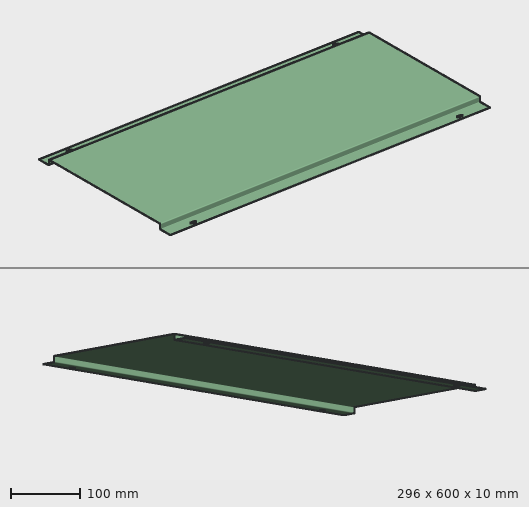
import cadquery as cq

width = 296.0
length = 600.0
height = 10.0

thickness = 1.0
inner_bend_radius = 0.5
outer_bend_radius = inner_bend_radius + thickness

panel_width = 252.0

slot_width = 4.0
slot_length = 10.0
slot_spacing_x = 280.0
slot_spacing_y = 500.0


def plate(x_size, z_bottom, z_top):
    """Full-length rectangular bar centred on X and Y between two heights."""
    return (
        cq.Workplane("XY")
        .workplane(offset=z_bottom)
        .rect(x_size, length)
        .extrude(z_top - z_bottom)
    )


def bent_sheet():
    """Raised panel with a side wall and an outward flange along each long edge."""
    panel = plate(panel_width, 0, height)
    panel = panel.edges("|Y and >Z").fillet(outer_bend_radius)

    channel_width = panel_width - 2 * thickness
    channel_top = height - thickness
    channel = plate(channel_width, 0, channel_top)
    channel = channel.edges("|Y and >Z").fillet(inner_bend_radius)

    sheet = panel.union(plate(width, 0, thickness))

    flange_corners = cq.selectors.BoxSelector(
        (-panel_width / 2 - thickness / 2, -length, thickness / 2),
        (panel_width / 2 + thickness / 2, length, thickness * 3 / 2),
    )
    sheet = sheet.edges("|Y").edges(flange_corners).fillet(inner_bend_radius)

    sheet = sheet.cut(channel)
    channel_mouth = cq.selectors.BoxSelector(
        (-panel_width / 2, -length, -thickness / 2),
        (panel_width / 2, length, thickness / 2),
    )
    return sheet.edges("|Y").edges(channel_mouth).fillet(outer_bend_radius)


def mounting_slots():
    """Round-ended slot cutters, one near each corner of the flanges."""
    return (
        cq.Workplane("XY")
        .rect(slot_spacing_x, slot_spacing_y, forConstruction=True)
        .vertices()
        .slot2D(slot_length, slot_width, 90)
        .extrude(thickness)
    )


result = bent_sheet().cut(mounting_slots())